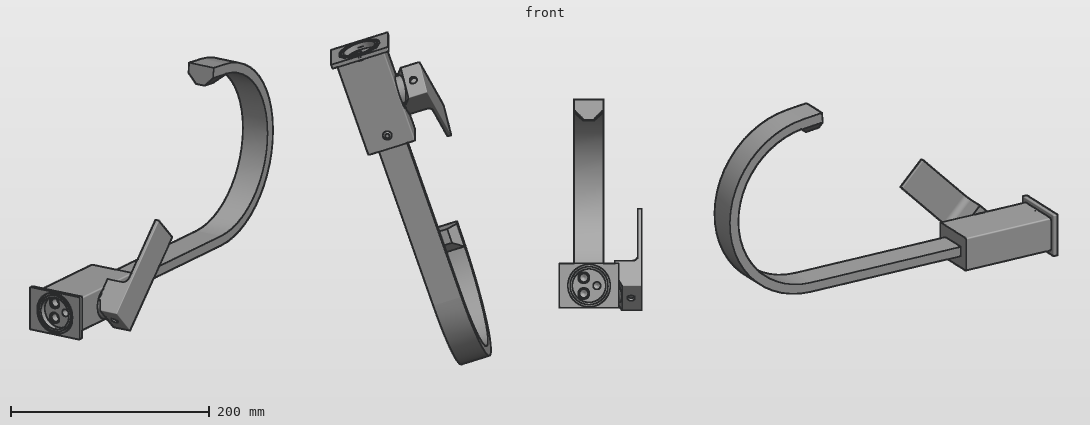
import cadquery as cq
import math

total_length = 378.0
total_width = 83.0

plate_width = 60.0
plate_height = 45.0
plate_thickness = 5.0
plate_edge_round = 1.0

body_center_x = -0.5
body_width = 50.0
body_height = 35.5
body_length = 100.0
body_edge_round = 1.5
body_right_x = body_center_x + body_width / 2
body_back_y = plate_thickness + body_length

recess_diameter = 33.5
recess_depth = 7.0
groove_inner_diameter = 38.0
groove_outer_diameter = 42.7
groove_depth = 2.0

inlet_x = -5.3
inlet_spacing = 16.0
inlet_diameter = 11.5
inlet_step_depth = 2.0
inlet_bore_diameter = 8.7
small_bore_x = 8.0
small_bore_diameter = 7.5
bore_depth = 11.5
drill_tip_angle = 118.0

screw_y = 91.0
screw_diameter = 9.0
screw_tip_diameter = 4.5
screw_height = 1.5

spout_width = 30.0
spout_thickness = 10.2
bend_outer_diameter = 191.0
bend_outer_radius = bend_outer_diameter / 2
bend_inner_radius = bend_outer_radius - spout_thickness
bend_center_y = total_length - bend_outer_radius
bend_center_z = bend_outer_radius - spout_thickness / 2
tip_slope = 5.5
tip_length = 22.5

spout_outlet_height = 10.2
spout_outlet_length = 25.0
spout_outlet_taper = 10.0

lever_tilt = 45.0
lever_width = 35.5
lever_length = 110.0
lever_pivot_y = 57.5
lever_outer_x = total_width - plate_width / 2
blade_thickness = 4.0
lever_edge_round = 0.8
blade_root_round = 6.0
hub_gap = 1.0
hub_left_x = body_right_x + hub_gap
neck_diameter = 33.5
hub_undercut_depth = 11.5
hub_undercut_start = 3.5
hub_undercut_end = 8.7
neck_length = hub_gap + hub_undercut_end
lever_screw_diameter = 7.5
lever_screw_depth = 3.8
lever_screw_x = 42.5


def cylinder_along_y(diameter, length, x, y, z):
    """Solid cylinder that starts at y and runs back along +Y."""
    return cq.Workplane(cq.Solid.makeCylinder(diameter / 2, length, cq.Vector(x, y, z), cq.Vector(0, 1, 0)))


def drilled_bore(diameter, depth, x, y, z):
    """Cutter for a bore with a conical bottom."""
    tip_height = diameter / 2 / math.tan(math.radians(drill_tip_angle / 2))
    tip = cq.Solid.makeCone(diameter / 2, 0, tip_height, cq.Vector(x, y + depth, z), cq.Vector(0, 1, 0))
    return cylinder_along_y(diameter, depth, x, y, z).union(cq.Workplane(tip))


def make_base():
    """Base plate and housing body, with the set screw head below."""
    plate = cq.Workplane("XY").box(plate_width, plate_thickness, plate_height, centered=(True, False, True))
    plate = plate.edges("|Y or >Y").fillet(plate_edge_round)
    body = (
        cq.Workplane("XY")
        .box(body_width, body_back_y, body_height, centered=(True, False, True))
        .edges("|Y")
        .fillet(body_edge_round)
        .translate((body_center_x, 0, 0))
    )
    screw = cq.Workplane(
        cq.Solid.makeCone(
            screw_diameter / 2,
            screw_tip_diameter / 2,
            screw_height,
            cq.Vector(body_center_x, screw_y, -body_height / 2),
            cq.Vector(0, 0, -1),
        )
    )
    return plate.union(body).union(screw)


def cut_connections(base):
    """Cut the groove, the recess and its bores into the front of the base."""
    groove = cylinder_along_y(groove_outer_diameter, groove_depth, 0, 0, 0).cut(
        cylinder_along_y(groove_inner_diameter, groove_depth, 0, 0, 0)
    )
    base = base.cut(groove).cut(cylinder_along_y(recess_diameter, recess_depth, 0, 0, 0))
    for inlet_z in (-inlet_spacing / 2, inlet_spacing / 2):
        base = base.cut(cylinder_along_y(inlet_diameter, inlet_step_depth, inlet_x, recess_depth, inlet_z))
        base = base.cut(drilled_bore(inlet_bore_diameter, bore_depth, inlet_x, recess_depth, inlet_z))
    return base.cut(drilled_bore(small_bore_diameter, bore_depth, small_bore_x, recess_depth, 0))


def bend_point(radius, angle):
    """Point on the bend, with the angle measured from +Y toward +Z."""
    turn = math.radians(angle)
    return (bend_center_y + radius * math.cos(turn), bend_center_z + radius * math.sin(turn))


def along_tip(point, distance):
    """Move a (y, z) point along the rising tip, toward its free end."""
    slope = math.radians(tip_slope)
    return (point[0] - distance * math.cos(slope), point[1] + distance * math.sin(slope))


def make_spout():
    """Bent bar that starts at the back of the body."""
    bend_end = 90.0 - tip_slope
    bend_middle = (bend_end - 90.0) / 2
    outer_end = bend_point(bend_outer_radius, bend_end)
    inner_end = bend_point(bend_inner_radius, bend_end)
    return (
        cq.Workplane("YZ")
        .moveTo(body_back_y, -spout_thickness / 2)
        .lineTo(*bend_point(bend_outer_radius, -90))
        .threePointArc(bend_point(bend_outer_radius, bend_middle), outer_end)
        .lineTo(*along_tip(outer_end, tip_length))
        .lineTo(*along_tip(inner_end, tip_length))
        .lineTo(*inner_end)
        .threePointArc(bend_point(bend_inner_radius, bend_middle), bend_point(bend_inner_radius, -90))
        .lineTo(body_back_y, spout_thickness / 2)
        .close()
        .extrude(spout_width / 2, both=True)
        .translate((body_center_x, 0, 0))
    )


def make_spout_outlet():
    """Block under the tip, built level and then turned to the tip slope."""
    tip_y, tip_z = along_tip(bend_point(bend_inner_radius, 90.0 - tip_slope), tip_length)
    block = (
        cq.Workplane("XY")
        .box(spout_width, spout_outlet_length, spout_outlet_height, centered=(True, False, False))
        .translate((0, 0, -spout_outlet_height))
        .faces("<Z")
        .edges("not(<Y)")
        .chamfer(spout_outlet_taper)
    )
    return block.rotate((0, 0, 0), (1, 0, 0), -tip_slope).translate((body_center_x, tip_y, tip_z))


def make_lever():
    """Lever built with its blade along +Y and its pivot at the origin, then tilted up."""
    half = lever_width / 2
    blade_length_back = lever_length - half
    inner_blade_x = lever_outer_x - blade_thickness
    profile = (
        cq.Workplane("XY")
        .moveTo(hub_left_x, half)
        .lineTo(inner_blade_x - blade_root_round, half)
        .radiusArc((inner_blade_x, half + blade_root_round), -blade_root_round)
        .lineTo(inner_blade_x, blade_length_back)
        .lineTo(lever_outer_x, blade_length_back)
        .lineTo(lever_outer_x, -half)
        .lineTo(body_right_x + hub_undercut_end, -half)
        .lineTo(body_right_x + hub_undercut_start, -half + hub_undercut_depth)
        .lineTo(hub_left_x, -half + hub_undercut_depth)
        .close()
    )
    lever = profile.extrude(half, both=True)
    lever = lever.edges(">X or >Y or (<Y and #Z)").fillet(lever_edge_round)
    neck = cq.Solid.makeCylinder(
        neck_diameter / 2, neck_length, cq.Vector(body_right_x, 0, 0), cq.Vector(1, 0, 0)
    )
    lever = lever.union(cq.Workplane(neck))
    lever = lever.cut(cylinder_along_y(lever_screw_diameter, lever_screw_depth, lever_screw_x, -half, 0))
    return lever.rotate((0, 0, 0), (1, 0, 0), lever_tilt).translate((0, lever_pivot_y, 0))


faucet = cut_connections(make_base()).union(make_spout()).union(make_spout_outlet())
lever = make_lever()

result = cq.Compound.makeCompound([faucet.val(), lever.val()])